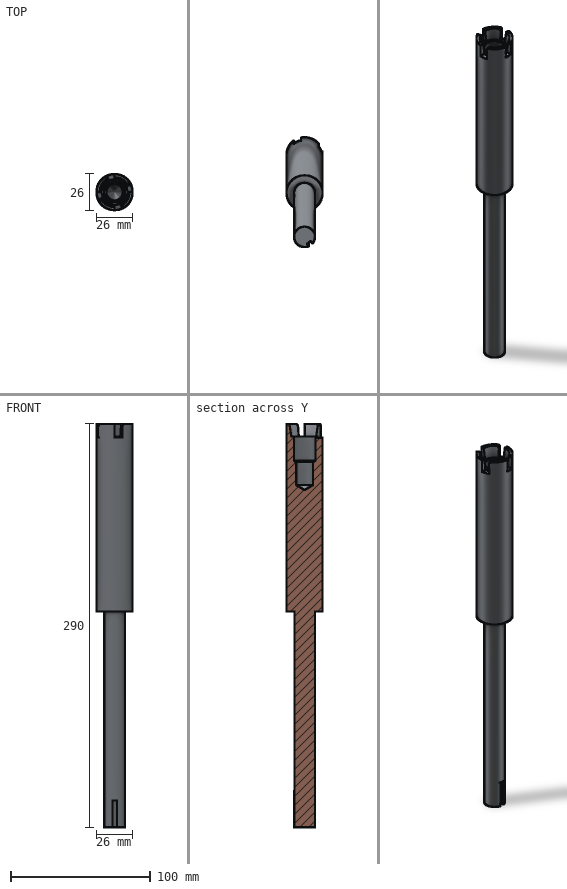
import cadquery as cq
import math

total_length = 290.0
sleeve_diameter = 26.0
sleeve_length = 134.8
shaft_diameter = 15.0
shoulder_height = total_length - sleeve_length

socket_mouth_diameter = 21.5
socket_floor_diameter = 18.5
socket_depth = 9.0

upper_hole_diameter = 15.0
upper_hole_depth = 17.5
lower_hole_diameter = 12.0
lower_hole_depth = 34.8
drill_point_angle = 118.0

slot_count = 4
slot_depth = 10.0
slot_angle = 26.0
claw_chamfer = 1.2

keyway_width = 3.2
keyway_length = 19.5
keyway_depth = 2.3


def make_body():
    """Round sleeve standing on a thinner shaft."""
    shaft = cq.Workplane("XY").circle(shaft_diameter / 2).extrude(shoulder_height)
    sleeve = (
        cq.Workplane("XY", origin=(0, 0, shoulder_height))
        .circle(sleeve_diameter / 2)
        .extrude(sleeve_length)
    )
    return shaft.union(sleeve)


def make_bore():
    """Revolved tapered socket and stepped hole with conical drill points."""
    upper_radius = upper_hole_diameter / 2
    lower_radius = lower_hole_diameter / 2
    socket_floor = total_length - socket_depth
    upper_floor = socket_floor - upper_hole_depth
    lower_floor = socket_floor - lower_hole_depth
    point_slope = 1 / math.tan(math.radians(drill_point_angle / 2))
    return (
        cq.Workplane("XZ")
        .moveTo(0, total_length)
        .lineTo(socket_mouth_diameter / 2, total_length)
        .lineTo(socket_floor_diameter / 2, socket_floor)
        .lineTo(upper_radius, socket_floor)
        .lineTo(upper_radius, upper_floor)
        .lineTo(lower_radius, upper_floor - (upper_radius - lower_radius) * point_slope)
        .lineTo(lower_radius, lower_floor)
        .lineTo(0, lower_floor - lower_radius * point_slope)
        .close()
        .revolve(360, (0, 0, 0), (0, 1, 0))
    )


def make_claw_slot():
    """Slot in the -Y side with radial walls, starting at X = 0, chamfered at its far top edge."""
    reach = sleeve_diameter
    far_x = reach * math.tan(math.radians(slot_angle))
    slot_floor = total_length - slot_depth
    wedge = (
        cq.Workplane("XY", origin=(0, 0, slot_floor))
        .lineTo(0, -reach)
        .lineTo(far_x, -reach)
        .close()
        .extrude(slot_depth)
    )
    chamfer_ridge = (
        cq.Workplane("XZ")
        .moveTo(-claw_chamfer, total_length)
        .lineTo(claw_chamfer, total_length)
        .lineTo(0, total_length - claw_chamfer)
        .close()
        .extrude(reach)
        .rotate((0, 0, 0), (0, 0, 1), slot_angle)
    )
    core = (
        cq.Workplane("XY", origin=(0, 0, slot_floor))
        .circle(socket_floor_diameter / 2)
        .extrude(slot_depth)
    )
    return wedge.union(chamfer_ridge).cut(core)


def cut_claw_slots(body):
    """Cut the slots evenly around the sleeve."""
    slot = make_claw_slot()
    for index in range(slot_count):
        body = body.cut(slot.rotate((0, 0, 0), (0, 0, 1), index * 360 / slot_count))
    return body


def make_keyway():
    """Straight keyway in the -Y side of the shaft, open at the lower end."""
    return (
        cq.Workplane("XY")
        .center(0, -shaft_diameter / 2)
        .rect(keyway_width, 2 * keyway_depth)
        .extrude(keyway_length)
    )


result = cut_claw_slots(make_body().cut(make_bore())).cut(make_keyway())